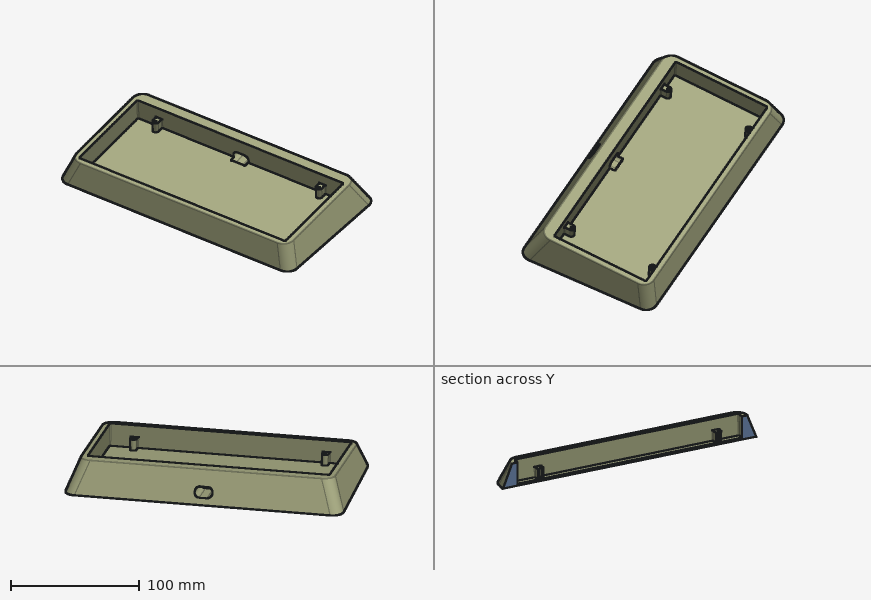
import cadquery as cq
import math

tilt_angle = 3.0
front_height = 20.0

rim_width = 202.0
rim_length = 96.7
side_slope = 20.9
front_slope = 21.5
back_slope = 25.6
corner_radius = 10.0
rim_fillet = 0.55

front_wall = 4.6
side_wall = 4.9
back_wall = 10.0
pocket_depth = 18.4
pocket_corner_radius = 0.9

post_spacing = 152.5
post_width = 5.0
post_reach = 7.5
post_height = 8.8
post_root_fillet = 0.7
post_embedding = 2.2
post_hole_diameter = 1.6

slot_radius = 4.0
slot_flat_width = 6.2
slot_center_above_floor = 2.0
slot_reach_into_pocket = 4.5

front_rim_y = -rim_length / 2
back_rim_y = rim_length / 2
back_height = front_height + rim_length * math.sin(math.radians(tilt_angle))
pocket_front_y = front_rim_y + front_wall
pocket_back_y = back_rim_y - back_wall
pocket_width = rim_width - 2 * side_wall
pocket_length = pocket_back_y - pocket_front_y
pocket_center_y = (pocket_front_y + pocket_back_y) / 2
body_depth = 2 * back_height


def spread(slope):
    """Outward run of a sloped wall over the full body depth."""
    return body_depth * math.tan(math.radians(slope))


def make_body():
    """Sloped block with rounded corners, before the base is cut flat."""
    half_width = rim_width / 2
    half_low_width = half_width + spread(side_slope)
    low_front_y = front_rim_y - spread(front_slope)
    low_back_y = back_rim_y + spread(back_slope)
    across = (
        cq.Workplane("XZ", origin=(0, low_back_y, 0))
        .moveTo(-half_width, 0)
        .lineTo(half_width, 0)
        .lineTo(half_low_width, -body_depth)
        .lineTo(-half_low_width, -body_depth)
        .close()
        .extrude(low_back_y - low_front_y)
    )
    along = (
        cq.Workplane("YZ", origin=(-half_low_width, 0, 0))
        .moveTo(front_rim_y, 0)
        .lineTo(back_rim_y, 0)
        .lineTo(low_back_y, -body_depth)
        .lineTo(low_front_y, -body_depth)
        .close()
        .extrude(2 * half_low_width)
    )
    block = across.intersect(along)
    rounded = block.edges("not(#Z)").fillet(corner_radius)
    return rounded.faces(">Z").edges().fillet(rim_fillet)


def make_pocket():
    return (
        cq.Workplane("XY")
        .center(0, pocket_center_y)
        .rect(pocket_width, pocket_length)
        .extrude(-pocket_depth)
        .edges("|Z")
        .fillet(pocket_corner_radius)
    )


def make_post(x, wall_y, direction):
    """Round-tipped post reaching from the wall at wall_y along +Y (1) or -Y (-1)."""
    radius = post_width / 2
    tip_center_y = wall_y + direction * (post_reach - radius)
    root_y = wall_y - direction * post_embedding
    flare = radius + post_root_fillet
    flare_y = wall_y + direction * post_root_fillet
    blend = post_root_fillet * (1 - math.sqrt(0.5))
    post = (
        cq.Workplane("XY", origin=(0, 0, -pocket_depth))
        .moveTo(x - flare, root_y)
        .lineTo(x - flare, wall_y)
        .threePointArc((x - radius - blend, wall_y + direction * blend), (x - radius, flare_y))
        .lineTo(x - radius, tip_center_y)
        .threePointArc((x, wall_y + direction * post_reach), (x + radius, tip_center_y))
        .lineTo(x + radius, flare_y)
        .threePointArc((x + radius + blend, wall_y + direction * blend), (x + flare, wall_y))
        .lineTo(x + flare, root_y)
        .close()
        .extrude(post_height)
    )
    hole = (
        cq.Workplane("XY", origin=(x, tip_center_y, -pocket_depth))
        .circle(post_hole_diameter / 2)
        .extrude(post_height)
    )
    return post.cut(hole)


def make_cable_slot():
    slot_start_y = pocket_back_y - slot_reach_into_pocket
    slot_length = slot_reach_into_pocket + back_wall + spread(back_slope)
    slot_z = slot_center_above_floor - pocket_depth
    return (
        cq.Workplane("XZ", origin=(0, slot_start_y, slot_z))
        .slot2D(slot_flat_width + 2 * slot_radius, 2 * slot_radius)
        .extrude(-slot_length)
    )


case = make_body().cut(make_pocket())
for side in (-1, 1):
    post_x = side * post_spacing / 2
    case = case.union(make_post(post_x, pocket_front_y, 1))
    case = case.union(make_post(post_x, pocket_back_y, -1))
case = case.cut(make_cable_slot())

case = (
    case.translate((0, -back_rim_y, 0))
    .rotate((0, 0, 0), (1, 0, 0), tilt_angle)
    .translate((0, back_rim_y, back_height))
)
cut_size = 4 * rim_width
below_base = cq.Workplane("XY").rect(cut_size, cut_size).extrude(-cut_size)
result = case.cut(below_base)